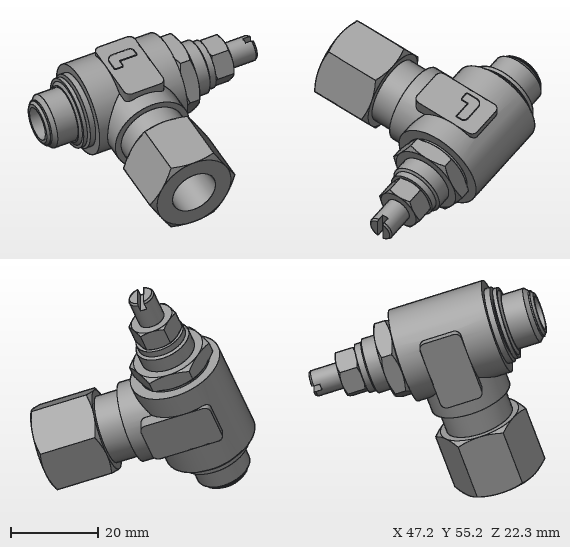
import cadquery as cq
import math


overall_length = 55.2
overall_width = 47.15

HEX_CHAMFER_SLOPE = math.tan(math.radians(30))

body_d = 22.0
body_r = body_d / 2
body_front_y = -11.55
body_back_y = 11.1

pad_left_x = -6.1
pad_right_x = body_r
pad_width = 10.05
pad_center_y = 0.5
pad_corner_r = 1.5

boot_height = 0.3
boot_left_x = -2.2
boot_ankle_x = 0.3
boot_toe_x = 2.25
boot_top_y = 3.55
boot_instep_y = -0.95
boot_sole_y = -3.2
boot_heel_r = 1.6
boot_top_r = 1.1
boot_toe_r = 0.45

collar_d = 19.0
collar_end_x = 14.9
tube_d = 16.0
nut_start_x = 21.0
nut_end_x = overall_width - body_r
nut_flats = 19.0

thread_d = 13.0
flange_d = 18.0
flange_end_y = -12.9
seal_core_d = 13.8
seal_shoulder_d = 15.5
seal_disc_d = 16.95
seal_cone_length = 0.5
seal_disc_length = 0.95
lead_cone_start_y = -20.05
lead_cone_length = 1.0
lead_land_d = 11.05
lead_land_length = 0.35
tip_base_d = 10.65
tip_end_d = 9.5
connection_end_y = -21.95

lock_nut_flats = 16.95
lock_nut_start_y = 11.6
lock_nut_end_y = 15.55
cap_shoulder_y = 19.15
cap_neck_d = 11.65
cap_neck_y = 19.55
jam_nut_flats = 10.0
jam_nut_start_y = 21.1
jam_nut_end_y = 26.1
screw_d = 6.1
screw_end_y = connection_end_y + overall_length
screw_tip_d = 5.45
screw_tip_length = 0.5
slot_width = 1.5
slot_depth = 2.0

inlet_bore_d = 7.95
outlet_bore_d = 11.05


def cylinder_y(diameter, start_y, end_y):
    plane = cq.Workplane("XZ", origin=(0, start_y, 0))
    return plane.circle(diameter / 2).extrude(start_y - end_y)


def cylinder_x(diameter, start_x, end_x):
    plane = cq.Workplane("YZ", origin=(start_x, 0, 0))
    return plane.circle(diameter / 2).extrude(end_x - start_x)


def hex_nut(flats, length):
    """Hexagon along +Z from the origin, flats facing +-Y, 30 degree chamfer at both ends."""
    flat_r = flats / 2
    corner_r = flat_r / math.cos(math.pi / 6)
    drop = (corner_r - flat_r) * HEX_CHAMFER_SLOPE
    prism = cq.Workplane("XY").polygon(6, 2 * corner_r).extrude(length)
    envelope = (
        cq.Workplane("XZ")
        .moveTo(0, 0)
        .lineTo(flat_r, 0)
        .lineTo(corner_r, drop)
        .lineTo(corner_r, length - drop)
        .lineTo(flat_r, length)
        .lineTo(0, length)
        .close()
        .revolve(360, (0, 0), (0, 1))
    )
    return prism.intersect(envelope)


def hex_nut_y(flats, start_y, end_y):
    nut = hex_nut(flats, end_y - start_y)
    return nut.rotate((0, 0, 0), (1, 0, 0), -90).translate((0, start_y, 0))


def hex_nut_x(flats, start_x, end_x):
    nut = hex_nut(flats, end_x - start_x).rotate((0, 0, 0), (0, 0, 1), 90)
    return nut.rotate((0, 0, 0), (0, 1, 0), 90).translate((start_x, 0, 0))


def revolve_about_y(steps):
    """Solid of revolution about Y through (diameter, y) steps, closed along the axis."""
    points = [(diameter / 2, y) for diameter, y in steps]
    profile = [(0, points[0][1])] + points + [(0, points[-1][1])]
    return cq.Workplane("XY").polyline(profile).close().revolve(360, (0, 0), (0, 1))


def key_pads():
    length = pad_right_x - pad_left_x
    center_x = (pad_left_x + pad_right_x) / 2
    block = cq.Workplane("XY").box(length, pad_width, body_d).edges("|Z").fillet(pad_corner_r)
    return block.translate((center_x, pad_center_y, 0))


def boot_mark():
    outline = (
        cq.Workplane("XY", origin=(0, 0, body_r))
        .moveTo(boot_left_x, boot_sole_y)
        .lineTo(boot_toe_x, boot_sole_y)
        .lineTo(boot_toe_x, boot_instep_y)
        .lineTo(boot_ankle_x, boot_instep_y)
        .lineTo(boot_ankle_x, boot_top_y)
        .lineTo(boot_left_x, boot_top_y)
        .close()
        .extrude(boot_height)
    )
    heel = outline.edges("|Z and <X and <Y").fillet(boot_heel_r)
    toe = heel.edges("|Z and >X").fillet(boot_toe_r)
    return toe.edges("|Z and <X and >Y").fillet(boot_top_r)


def connection_end():
    disc_start_y = flange_end_y - seal_cone_length
    disc_end_y = disc_start_y - seal_disc_length
    seal_end_y = disc_end_y - seal_cone_length
    land_start_y = lead_cone_start_y - lead_cone_length
    land_end_y = land_start_y - lead_land_length
    return revolve_about_y([
        (flange_d, body_front_y),
        (flange_d, flange_end_y),
        (seal_core_d, flange_end_y),
        (seal_shoulder_d, disc_start_y),
        (seal_disc_d, disc_start_y),
        (seal_disc_d, disc_end_y),
        (seal_shoulder_d, disc_end_y),
        (seal_core_d, seal_end_y),
        (thread_d, seal_end_y),
        (thread_d, lead_cone_start_y),
        (lead_land_d, land_start_y),
        (lead_land_d, land_end_y),
        (tip_base_d, land_end_y),
        (tip_end_d, connection_end_y),
    ])


def adjusting_end():
    collar = cylinder_y(lock_nut_flats, body_back_y, lock_nut_start_y)
    lock_nut = hex_nut_y(lock_nut_flats, lock_nut_start_y, lock_nut_end_y)
    cap = revolve_about_y([
        (thread_d, lock_nut_end_y),
        (thread_d, cap_shoulder_y),
        (cap_neck_d, cap_neck_y),
        (cap_neck_d, jam_nut_start_y),
    ])
    jam_nut = hex_nut_y(jam_nut_flats, jam_nut_start_y, jam_nut_end_y)
    screw = revolve_about_y([
        (screw_d, jam_nut_end_y),
        (screw_d, screw_end_y - screw_tip_length),
        (screw_tip_d, screw_end_y),
    ])
    slot = cq.Workplane("XY").box(slot_width, 2 * slot_depth, screw_d).translate((0, screw_end_y, 0))
    return collar.union(lock_nut).union(cap).union(jam_nut).union(screw.cut(slot))


def outlet_branch():
    collar = cylinder_x(collar_d, 0, collar_end_x)
    tube = cylinder_x(tube_d, collar_end_x, nut_start_x)
    nut = hex_nut_x(nut_flats, nut_start_x, nut_end_x)
    return collar.union(tube).union(nut)


def flow_passages():
    """Inlet bore from the threaded end, opening into a cross bore along the outlet axis."""
    inlet = cylinder_y(inlet_bore_d, connection_end_y, 0)
    outlet = cylinder_x(outlet_bore_d, -outlet_bore_d / 2, nut_end_x)
    return inlet.union(outlet)


result = (
    cylinder_y(body_d, body_front_y, body_back_y)
    .union(key_pads())
    .union(boot_mark())
    .union(outlet_branch())
    .union(connection_end())
    .union(adjusting_end())
    .cut(flow_passages())
)